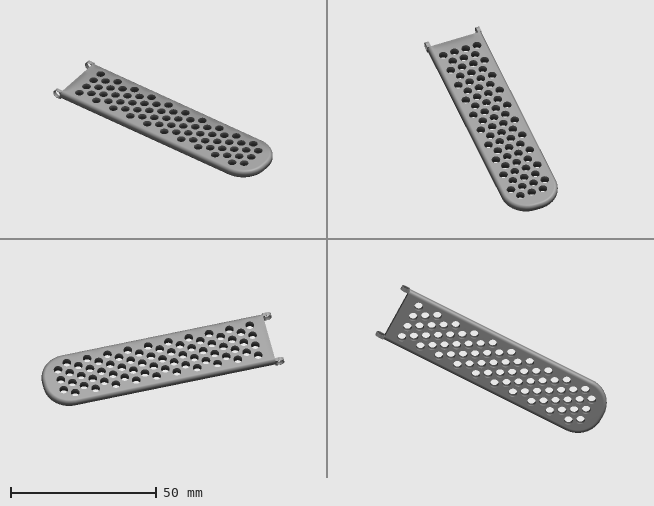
import cadquery as cq
import math

length = 83.1
width = 20.0

lug_diameter = 3.1
lug_bore = 2.75
lug_width = 1.3
lug_web_height = 2.9

thickness = 3.0
plate_start = lug_diameter
corner_radius = 9.0
edge_radius = 1.25

lug_x = lug_diameter / 2
lug_z = (thickness - lug_diameter) / 2

hole_diameter = 3.0
hole_pitch = 4.15
column_pitch = hole_pitch * math.sin(math.radians(60))
first_column_x = 8.4
column_count = 20
holes_in_even_column = 4
holes_in_odd_column = 3


def make_plate():
    """Flat plate, rounded at the far corners and along every edge but the hinge end."""
    plate_length = length - plate_start
    plate = cq.Workplane("XY").box(plate_length, width, thickness, centered=(False, True, True))
    plate = plate.translate((plate_start, 0, 0))
    plate = plate.edges("|Z and >X").fillet(corner_radius)
    return plate.faces("<Z or >Z").edges("not <X").fillet(edge_radius)


def make_lug(y_min):
    """Hinge eye joined to the plate by a web; its bore runs along Y."""
    y_max = y_min + lug_width
    profile_plane = cq.Workplane("XZ", origin=(lug_x, y_max, lug_z))
    eye = profile_plane.circle(lug_diameter / 2).extrude(lug_width)
    web_length = plate_start - lug_x
    web = profile_plane.center(web_length / 2, 0).rect(web_length, lug_web_height).extrude(lug_width)
    bore = profile_plane.circle(lug_bore / 2).extrude(lug_width)
    return eye.union(web).cut(bore)


def hole_centres():
    """Centres of all the perforations."""
    centres = []
    for column in range(column_count):
        count = holes_in_odd_column if column % 2 else holes_in_even_column
        x = first_column_x + column * column_pitch
        for row in range(count):
            y = (row - (count - 1) / 2) * hole_pitch
            centres.append((x, y))
    return centres


def make_holes():
    """Cylinders that cut the perforations right through the plate."""
    base = cq.Workplane("XY").workplane(offset=-thickness / 2)
    return base.pushPoints(hole_centres()).circle(hole_diameter / 2).extrude(thickness)


result = make_plate()
for lug_y_min in (-width / 2, width / 2 - lug_width):
    result = result.union(make_lug(lug_y_min))
result = result.cut(make_holes())